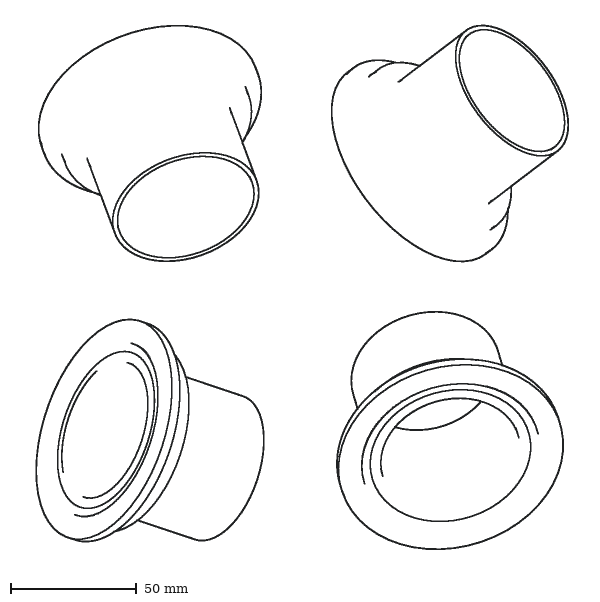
import cadquery as cq
import math

length = 57.0
flange_radius = 91 / 2
hub_radius = 78.0 / 2
tube_radius = 60.3 / 2
bore_radius = 56.3 / 2

rim_thickness = 4.1
cone_angle = 20
hub_end = 14.0
rim_fillet = 0.9
cone_fillet = 1.8
hub_fillet = 1.5
neck_fillet = 1.6
cone_end = rim_thickness + (flange_radius - hub_radius) * math.tan(math.radians(cone_angle))

recess_radius = 72.0 / 2
recess_depth = 1.0
recess_fillet = 0.3

lip_x = 0.6
lip_outer_fillet = 0.55
lip_inner_fillet = 0.55

groove_outer_radius = 32.5
groove_center_radius = 31.0
groove_arc_radius = 2.4
groove_start = math.degrees(math.acos((groove_outer_radius - groove_center_radius) / groove_arc_radius))
groove_center_x = recess_depth - groove_arc_radius * math.sin(math.radians(groove_start))
groove_end = 180 - math.degrees(math.asin((lip_x - groove_center_x) / groove_arc_radius))


def groove_point(angle):
    """Point on the groove arc; the angle runs from radially outward towards +X."""
    a = math.radians(angle)
    return (
        groove_center_x + groove_arc_radius * math.sin(a),
        groove_center_radius + groove_arc_radius * math.cos(a),
    )


def fillet_circle(body, x, radius, fillet_radius):
    """Round the circular edge of the given radius at position x."""
    tolerance = 0.001
    edges = body.edges("%CIRCLE").filter(
        lambda e: abs(e.Center().x - x) < tolerance and abs(e.radius() - radius) < tolerance
    )
    return edges.fillet(fillet_radius)


profile = (
    cq.Workplane("XY")
    .moveTo(0, recess_radius)
    .lineTo(0, flange_radius)
    .lineTo(rim_thickness, flange_radius)
    .lineTo(cone_end, hub_radius)
    .lineTo(hub_end, hub_radius)
    .lineTo(hub_end, tube_radius)
    .lineTo(length, tube_radius)
    .lineTo(length, bore_radius)
    .lineTo(lip_x, bore_radius)
    .lineTo(*groove_point(groove_end))
    .threePointArc(groove_point((groove_start + groove_end) / 2), groove_point(groove_start))
    .lineTo(recess_depth, recess_radius)
    .close()
)
result = profile.revolve(360, (0, 0, 0), (1, 0, 0))

result = fillet_circle(result, rim_thickness, flange_radius, rim_fillet)
result = fillet_circle(result, cone_end, hub_radius, cone_fillet)
result = fillet_circle(result, hub_end, hub_radius, hub_fillet)
result = fillet_circle(result, hub_end, tube_radius, neck_fillet)
result = fillet_circle(result, *groove_point(groove_end), lip_outer_fillet)
result = fillet_circle(result, lip_x, bore_radius, lip_inner_fillet)
result = fillet_circle(result, 0, recess_radius, recess_fillet)
result = fillet_circle(result, recess_depth, recess_radius, recess_fillet)